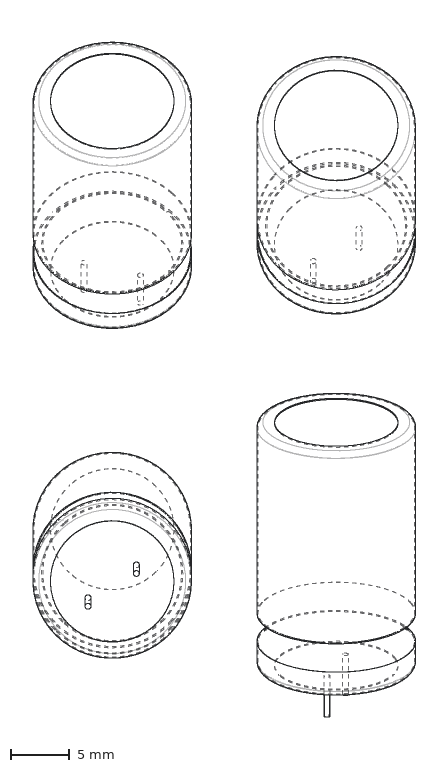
import cadquery as cq
import math


body_diameter = 13.5
body_height = 22.5
edge_radius = 0.5

groove_radius = 1.5
groove_depth = 0.75
groove_height = 3.6

sleeve_thickness = 0.1
sleeve_opening_diameter = 10.5

lead_diameter = 0.5
lead_pitch = 5.0
lead_length = 3.6

body_radius = body_diameter / 2
groove_center_radius = body_radius - groove_depth + groove_radius


def grooved_cylinder(inset):
    """Solid of the body outline moved inwards by inset on every side."""
    radius = body_radius - inset
    bottom = inset
    top = body_height - inset
    rounding = edge_radius - inset
    corner_offset = rounding * (1 - math.sqrt(0.5))
    arc_radius = groove_radius + inset
    groove_floor = groove_center_radius - arc_radius
    half_opening = math.sqrt(arc_radius**2 - (groove_center_radius - radius) ** 2)

    profile = (
        cq.Workplane("XZ")
        .moveTo(0, bottom)
        .lineTo(radius - rounding, bottom)
        .threePointArc(
            (radius - corner_offset, bottom + corner_offset),
            (radius, bottom + rounding),
        )
        .lineTo(radius, groove_height - half_opening)
        .threePointArc(
            (groove_floor, groove_height),
            (radius, groove_height + half_opening),
        )
        .lineTo(radius, top - rounding)
        .threePointArc(
            (radius - corner_offset, top - corner_offset),
            (radius - rounding, top),
        )
        .lineTo(0, top)
        .close()
    )
    return profile.revolve(360, (0, 0, 0), (0, 1, 0))


def make_can():
    """Can that fills the inside of the sleeve."""
    return grooved_cylinder(sleeve_thickness)


def make_sleeve(can):
    """Thin shell around the can, open in the middle of both end faces."""
    openings = cq.Workplane("XY").circle(sleeve_opening_diameter / 2).extrude(body_height)
    return grooved_cylinder(0).cut(can).cut(openings)


def make_lead(x):
    """Straight round lead that hangs from the underside of the can."""
    return (
        cq.Workplane("XY", origin=(x, 0, -lead_length))
        .circle(lead_diameter / 2)
        .extrude(lead_length + sleeve_thickness)
    )


can = make_can()
sleeve = make_sleeve(can)
leads = []
for side in (-1, 1):
    leads.append(make_lead(side * lead_pitch / 2))

result = cq.Compound.makeCompound([can.val(), sleeve.val(), *[lead.val() for lead in leads]])